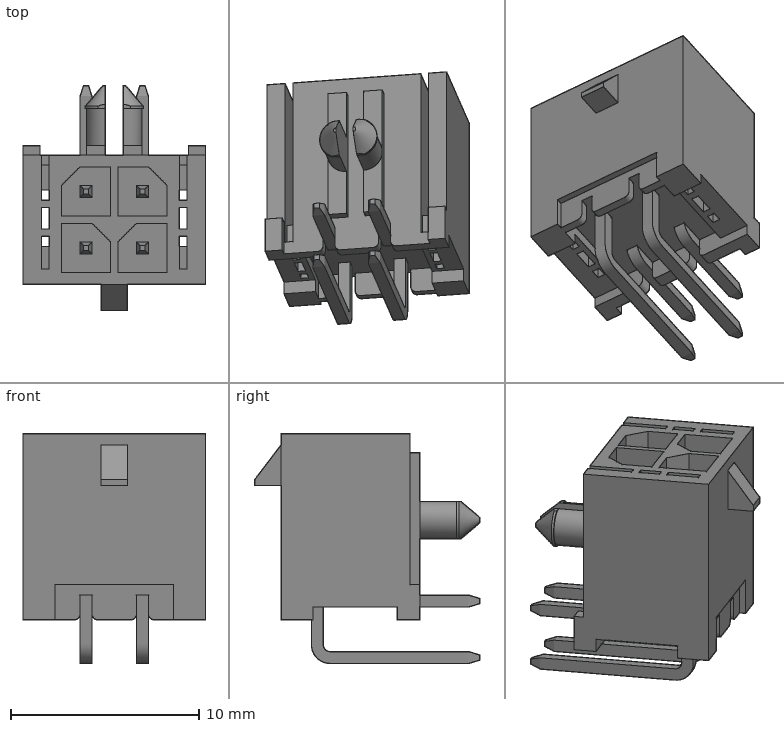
import cadquery as cq
import math

body_width = 9.7
body_depth = 6.86
body_height = 9.9
half_width = body_width / 2

pitch = 3.0
column_xs = (-pitch / 2, pitch / 2)
front_row_y = body_depth / 2 - pitch / 2
rear_row_y = front_row_y + pitch

pin_size = 0.64
pin_tip_size = 0.28
pin_tip_length = 0.58
pin_top_z = 7.5
pin_rear_y = 10.56
pin_bend_outer = 1.0
pin_bend_inner = pin_bend_outer - pin_size
rear_pin_z = 1.0
front_pin_z = rear_pin_z - pitch

cavity_size = 2.6
cavity_chamfer = 0.97
cavity_floor_z = 3.0

standoff = 0.51
standoff_rear_y = body_depth + standoff
lug_width = 0.91
lug_height = 1.87
rib_top_z = 8.89

peg_gap = 0.93
peg_radius = 1.0
peg_z = 5.3
peg_head_radius = 1.08
peg_head_start_y = 9.33
peg_head_cone_y = 9.46
peg_nose_y = 10.43
peg_nose_radius = 0.26
peg_tip_radius = 0.13

latch_width = 1.4
latch_reach = 1.4
latch_bottom_z = 7.13
latch_nose_z = 7.46
latch_top_z = 9.3

slot_width = 0.41
slot_x = 3.66
slot_front_y = 0.8
slot_web_ys = (2.55, 4.07)
slot_web_width = 0.4
slot_floor_z = lug_height
through_front_y = 2.02
through_rear_y = 5.0
slot_step_y = 6.34

notch_height = rear_pin_z - pin_size / 2
notch_front_y = 1.7
notch_rear_y = 6.17
recess_width = 6.3
recess_height = 1.88
recess_depth = 0.33
front_wall = 0.43
channel_height = rear_pin_z + pin_size / 2
channel_flare = 0.3


def block(x0, x1, y0, y1, z0, z1):
    """Axis-aligned box between two opposite corners."""
    return cq.Workplane("XY").box(x1 - x0, y1 - y0, z1 - z0, centered=False).translate((x0, y0, z0))


def centred_block(width, y0, y1, z0, z1):
    """Box that is symmetric about X = 0."""
    return block(-width / 2, width / 2, y0, y1, z0, z1)


def side_block(side, x0, x1, y0, y1, z0, z1):
    """Box spanning distances x0 to x1 from the centre plane, on the -X or +X side."""
    near, far = sorted((side * x0, side * x1))
    return block(near, far, y0, y1, z0, z1)


def tapered_tip(plane):
    """Four-sided tip that narrows along the normal of the plane."""
    return (
        cq.Workplane(plane)
        .rect(pin_size, pin_size)
        .workplane(offset=pin_tip_length)
        .rect(pin_tip_size, pin_tip_size)
        .loft(ruled=True)
    )


def make_pin(x, y, tail_z):
    """Square pin: upright leg centred on (x, y), bent to a tail running rearward at tail_z."""
    half = pin_size / 2
    front = y - half
    back = y + half
    bottom = tail_z - half
    top = tail_z + half
    bend_y = front + pin_bend_outer
    bend_z = bottom + pin_bend_outer
    diagonal = math.sqrt(0.5)
    leg_end_z = pin_top_z - pin_tip_length
    tail_end_y = pin_rear_y - pin_tip_length
    bar = (
        cq.Workplane("YZ", origin=(x, 0, 0))
        .moveTo(front, leg_end_z)
        .lineTo(front, bend_z)
        .threePointArc(
            (bend_y - pin_bend_outer * diagonal, bend_z - pin_bend_outer * diagonal),
            (bend_y, bottom),
        )
        .lineTo(tail_end_y, bottom)
        .lineTo(tail_end_y, top)
        .lineTo(bend_y, top)
        .threePointArc(
            (bend_y - pin_bend_inner * diagonal, bend_z - pin_bend_inner * diagonal),
            (back, bend_z),
        )
        .lineTo(back, leg_end_z)
        .close()
        .extrude(half, both=True)
    )
    leg_tip = tapered_tip(cq.Plane(origin=(x, y, leg_end_z), normal=(0, 0, 1), xDir=(1, 0, 0)))
    tail_tip = tapered_tip(cq.Plane(origin=(x, tail_end_y, tail_z), normal=(0, 1, 0), xDir=(1, 0, 0)))
    return bar.union(leg_tip).union(tail_tip)


def make_latch():
    """Ramp that leans out from the front face and ends in a short blunt nose."""
    return (
        cq.Workplane("YZ", origin=(-latch_width / 2, 0, 0))
        .polyline([
            (0, latch_bottom_z),
            (-latch_reach, latch_bottom_z),
            (-latch_reach, latch_nose_z),
            (0, latch_top_z),
        ])
        .close()
        .extrude(latch_width)
    )


def make_half_peg(side):
    """Half of the round board peg, with a flared conical head and flat top and bottom."""
    centre_x = side * peg_gap / 2
    peg = (
        cq.Workplane("XY")
        .polyline([
            (0, body_depth),
            (peg_radius, body_depth),
            (peg_radius, peg_head_start_y),
            (peg_head_radius, peg_head_start_y),
            (peg_head_radius, peg_head_cone_y),
            (peg_nose_radius, peg_nose_y),
            (peg_tip_radius, pin_rear_y),
            (0, pin_rear_y),
        ])
        .close()
        .revolve(360, (0, 0, 0), (0, 1, 0))
        .translate((centre_x, 0, peg_z))
    )
    envelope = side_block(
        side, peg_gap / 2, peg_gap / 2 + peg_head_radius,
        body_depth, pin_rear_y, peg_z - peg_radius, peg_z + peg_radius,
    )
    return peg.intersect(envelope)


def make_cavity(x, y, cut_sides):
    """Square cavity with its rear corner beveled on each listed side (-1 or +1)."""
    half = cavity_size / 2
    cavity = block(x - half, x + half, y - half, y + half, cavity_floor_z, body_height)
    for side in cut_sides:
        corner = (
            cq.Workplane("XY", origin=(0, 0, cavity_floor_z))
            .polyline([
                (x + side * half, y + half),
                (x + side * (half - cavity_chamfer), y + half),
                (x + side * half, y + half - cavity_chamfer),
            ])
            .close()
            .extrude(body_height - cavity_floor_z)
        )
        cavity = cavity.cut(corner)
    return cavity


def make_side_slot(side):
    """Slot split by two webs, open at the rear, with a through opening in the middle of its floor."""
    inner = slot_x - slot_width / 2
    outer = slot_x + slot_width / 2
    slot = side_block(side, inner, outer, slot_front_y, body_depth, slot_floor_z, body_height)
    opening = side_block(side, inner, outer, through_front_y, through_rear_y, 0, body_height)
    step = side_block(side, inner, outer, slot_step_y, body_depth, notch_height, body_height)
    slot = slot.union(opening).union(step)
    for web_y in slot_web_ys:
        slot = slot.cut(side_block(side, inner, outer, web_y, web_y + slot_web_width, 0, body_height))
    return slot


def make_pin_channel(x):
    """Channel along Y in the underside, as wide as a pin, with rounded mouth edges."""
    half = pin_size / 2
    mouth = half + channel_flare
    diagonal = channel_flare * math.sqrt(0.5)
    return (
        cq.Workplane("XZ", origin=(x, 0, 0))
        .moveTo(-mouth, 0)
        .threePointArc((-mouth + diagonal, channel_flare - diagonal), (-half, channel_flare))
        .lineTo(-half, channel_height)
        .lineTo(half, channel_height)
        .lineTo(half, channel_flare)
        .threePointArc((mouth - diagonal, channel_flare - diagonal), (mouth, 0))
        .close()
        .extrude(-body_depth)
    )


def make_housing(pins):
    housing = centred_block(body_width, 0, body_depth, 0, body_height)
    housing = housing.union(make_latch())

    for side in (-1, 1):
        housing = housing.union(side_block(
            side, half_width - lug_width, half_width, body_depth, standoff_rear_y, 0, lug_height,
        ))
        housing = housing.union(side_block(
            side, peg_gap / 2, peg_gap / 2 + peg_radius,
            body_depth, standoff_rear_y, lug_height, rib_top_z,
        ))
        housing = housing.union(make_half_peg(side))
        housing = housing.cut(make_side_slot(side))

    for x in column_xs:
        outward = 1 if x > 0 else -1
        housing = housing.cut(make_cavity(x, front_row_y, (-outward,)))
        housing = housing.cut(make_cavity(x, rear_row_y, (outward,)))
        housing = housing.cut(make_pin_channel(x))

    side_notch = centred_block(body_width, notch_front_y, notch_rear_y, 0, notch_height)
    front_recess = centred_block(recess_width, 0, recess_depth, 0, recess_height)
    pocket = centred_block(recess_width, recess_depth + front_wall, notch_rear_y, 0, channel_height)
    housing = housing.cut(side_notch).cut(front_recess).cut(pocket)

    for pin in pins:
        housing = housing.cut(pin)
    return housing


pins = []
for column_x in column_xs:
    pins.append(make_pin(column_x, front_row_y, front_pin_z))
    pins.append(make_pin(column_x, rear_row_y, rear_pin_z))

housing = make_housing(pins)

result = cq.Compound.makeCompound([housing.solids().val(), *[pin.solids().val() for pin in pins]])